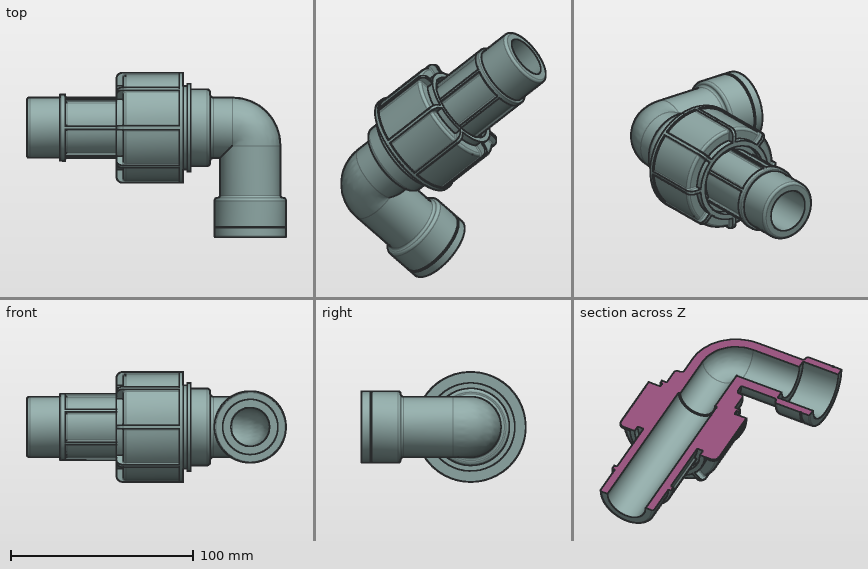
import cadquery as cq
import math

length_x = 142.2
length_y = 90.3

pipe_radius = 33.3 / 2
bore_radius = 21.2 / 2
tail_bore_radius = 23.3 / 2
tail_face_radius = 30.3 / 2
tail_end_round = pipe_radius - tail_face_radius

collar_start = 18.0
collar_end = 21.0
collar_radius = 36.5 / 2
collar_round = 0.5
collar_root_fillet = 0.9
tail_rib_count = 6
tail_rib_width = 1.5
tail_rib_fillet = 0.7

nut_start = 49.0
nut_end = 85.7
nut_radius = 60.5 / 2
nut_round = 3.5
nut_rim_width = 2.3
nut_core_start = 52.8
nut_core_radius = 29.3
nut_core_round = 1.5
nut_hub_radius = 45.9 / 2
nut_mouth_radius = 40.0 / 2
nut_mouth_depth = nut_core_start - nut_start
nut_rib_count = 8
nut_rib_width = 2.0
nut_rib_fillet = 0.5

neck_radius = 45.9 / 2
flange_start = 87.9
flange_end = 90.0
flange_radius = 48.3 / 2
shoulder_end = 100.5
shoulder_radius = 42.4 / 2
shoulder_round = 2.0
shoulder_root_fillet = 1.7

socket_radius = 39.4 / 2
branch_x = length_x - socket_radius
bend_radius = 9.8
branch_end = length_y - nut_radius
socket_start = 38.4
socket_root_fillet = 1.4
socket_round = socket_radius - pipe_radius - socket_root_fillet
socket_end_round = 0.7
socket_bore_radius = 30.3 / 2
socket_bore_depth = 21.6
groove_position = 54.6
groove_width = 0.7
groove_depth = 0.4

bend_x = branch_x - bend_radius


def cylinder_x(radius, start, end):
    """Cylinder on the X axis between two X positions."""
    return cq.Workplane("YZ", origin=(start, 0, 0)).circle(radius).extrude(end - start)


def cylinder_branch(radius, start, end):
    """Cylinder on the branch axis, between two distances from the run axis."""
    return cq.Workplane("XZ", origin=(branch_x, -start, 0)).circle(radius).extrude(end - start)


def root_fillet(start, fillet):
    """Concave ring that blends a step facing +X down onto the run pipe."""
    return (
        cq.Workplane("XY", origin=(start, 0, 0))
        .lineTo(0, pipe_radius + fillet)
        .radiusArc((fillet, pipe_radius), -fillet)
        .lineTo(fillet, 0)
        .close()
        .revolve(360, (0, 0, 0), (1, 0, 0))
    )


def elbow(radius):
    """Quarter bend of a round section, kept to the outer side of its turning axis."""
    half_height = math.sqrt(radius**2 - bend_radius**2)
    section = (
        cq.Workplane("YZ", origin=(bend_x, 0, 0))
        .moveTo(-bend_radius, -half_height)
        .threePointArc((radius, 0), (-bend_radius, half_height))
        .close()
    )
    return section.revolve(90, (-bend_radius, 1.4, 0), (-bend_radius, 0, 0))


def make_tail_rib():
    """Rib along X on the +Z side, widening through concave arcs onto the pipe."""
    half_width = tail_rib_width / 2
    foot = half_width + tail_rib_fillet
    base = math.sqrt(pipe_radius**2 - foot**2)
    fillet_top = base + tail_rib_fillet
    height = 2 * collar_radius
    rib = (
        cq.Workplane("YZ", origin=(collar_end, 0, 0))
        .moveTo(-foot, 0)
        .lineTo(-foot, base)
        .radiusArc((-half_width, fillet_top), -tail_rib_fillet)
        .lineTo(-half_width, height)
        .lineTo(half_width, height)
        .lineTo(half_width, fillet_top)
        .radiusArc((foot, base), -tail_rib_fillet)
        .lineTo(foot, 0)
        .close()
        .extrude(nut_end - collar_end)
    )
    return rib.intersect(cylinder_x(collar_radius, collar_end, nut_end))


def ring_of(rib, count):
    """The rib repeated evenly around the X axis."""
    ring = rib
    for index in range(1, count):
        ring = ring.union(rib.rotate((0, 0, 0), (1, 0, 0), index * 360 / count))
    return ring


def make_tail():
    pipe = cylinder_x(pipe_radius, 0, nut_end).faces("<X").edges().fillet(tail_end_round)
    collar = cylinder_x(collar_radius, collar_start, collar_end).faces("<X").edges().fillet(collar_round)
    collar_root = root_fillet(collar_end, collar_root_fillet)
    ribs = ring_of(make_tail_rib(), tail_rib_count)
    return pipe.union(collar).union(collar_root).union(ribs)


def is_rib_foot(edge):
    """True for an edge where the side of a nut rib meets the nut core."""
    center = edge.Center()
    distance = math.hypot(center.y, center.z)
    on_core = nut_mouth_radius + nut_rib_fillet < distance < nut_core_radius + nut_rib_fillet
    between_ends = nut_core_start - nut_rib_fillet < center.x < nut_end - nut_rib_fillet
    return on_core and between_ends


def make_nut():
    envelope = cylinder_x(nut_radius, nut_start, nut_end).faces("<X").edges().fillet(nut_round)
    rib_size = (nut_end - nut_start, nut_rib_width, nut_radius)
    rib = cq.Workplane("XY", origin=(nut_start, 0, 0)).box(*rib_size, centered=(False, True, False))
    ribs = ring_of(rib, nut_rib_count).intersect(envelope)
    core = cylinder_x(nut_core_radius, nut_core_start, nut_end).faces("<X").edges().fillet(nut_core_round)
    bore = cylinder_x(nut_mouth_radius, nut_start, nut_end)
    ribbed_core = core.union(ribs).cut(bore)
    ribbed_core = ribbed_core.edges("not %CIRCLE").filter(is_rib_foot).fillet(nut_rib_fillet)
    hub = cylinder_x(nut_hub_radius, nut_start, nut_end)
    rim = cylinder_x(nut_radius, nut_end - nut_rim_width, nut_end)
    mouth = cylinder_x(nut_mouth_radius, nut_start, nut_start + nut_mouth_depth)
    return ribbed_core.union(hub).union(rim).cut(mouth)


def make_shoulder():
    neck = cylinder_x(neck_radius, nut_end, flange_start)
    flange = cylinder_x(flange_radius, flange_start, flange_end)
    shoulder = cylinder_x(shoulder_radius, flange_end, shoulder_end).faces(">X").edges().fillet(shoulder_round)
    root = root_fillet(shoulder_end, shoulder_root_fillet)
    return neck.union(flange).union(shoulder).union(root)


def make_branch():
    socket_full = socket_start + socket_round
    profile = (
        cq.Workplane("XY", origin=(branch_x, 0, 0))
        .moveTo(0, -bend_radius)
        .lineTo(pipe_radius, -bend_radius)
        .lineTo(pipe_radius, socket_root_fillet - socket_start)
        .radiusArc((pipe_radius + socket_root_fillet, -socket_start), -socket_root_fillet)
        .radiusArc((socket_radius, -socket_full), socket_round)
        .lineTo(socket_radius, -branch_end)
        .lineTo(0, -branch_end)
        .close()
    )
    branch = profile.revolve(360, (0, 0, 0), (0, 1, 0)).faces("<Y").edges().fillet(socket_end_round)
    groove_start = groove_position - groove_width / 2
    groove_end = groove_position + groove_width / 2
    groove = cylinder_branch(2 * socket_radius, groove_start, groove_end).cut(
        cylinder_branch(socket_radius - groove_depth, groove_start, groove_end)
    )
    return branch.cut(groove)


def make_bore():
    run = cylinder_x(bore_radius, 0, bend_x)
    tail = cylinder_x(tail_bore_radius, 0, nut_end)
    branch = cylinder_branch(bore_radius, bend_radius, branch_end)
    socket = cylinder_branch(socket_bore_radius, branch_end - socket_bore_depth, branch_end)
    return run.union(tail).union(elbow(bore_radius)).union(branch).union(socket)


body = make_tail().union(make_nut()).union(make_shoulder())
body = body.union(cylinder_x(pipe_radius, nut_end, bend_x)).union(elbow(pipe_radius)).union(make_branch())
result = body.cut(make_bore())